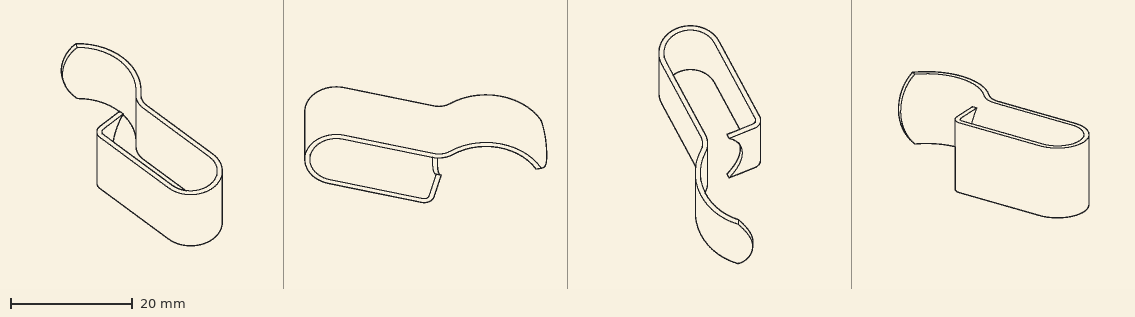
import cadquery as cq
import math

thickness = 0.85
width = 12.7

overall_length = 39.67
overall_depth = 15.11

loop_outer_radius = 5.2
hook_inner_radius = 0.85
neck_inner_radius = 3.175
crest_inner_radius = 9.525

hook_x = -17.5
hook_height = 6.35
tip_angle = math.radians(30)
end_round_radius = 9.525

tip_clearance = 1.0
tip_cut_reach = 3.0

half_width = width / 2
end_round_depth = end_round_radius - math.sqrt(end_round_radius**2 - half_width**2)

loop_inner_radius = loop_outer_radius - thickness
hook_outer_radius = hook_inner_radius + thickness
neck_outer_radius = neck_inner_radius + thickness
crest_outer_radius = crest_inner_radius + thickness

arm_y = loop_outer_radius
left_x = loop_outer_radius - overall_length
base_y = -loop_outer_radius
hook_bend_center = (hook_x + hook_outer_radius, base_y + hook_outer_radius)
hook_top_y = base_y + hook_height
crest_center = (
    left_x + crest_outer_radius * math.cos(tip_angle),
    base_y + overall_depth - crest_outer_radius,
)

neck_center_y = arm_y + neck_inner_radius
center_distance = crest_inner_radius + neck_outer_radius
neck_angle = math.asin((neck_center_y - crest_center[1]) / center_distance)
neck_center = (crest_center[0] + center_distance * math.cos(neck_angle), neck_center_y)

crest_tip_direction = math.pi - tip_angle
crest_mid_direction = (crest_tip_direction + neck_angle) / 2
neck_start_direction = neck_angle - math.pi
neck_mid_direction = (neck_start_direction - math.pi / 2) / 2


def polar(center, radius, direction):
    """Point at a radius and direction (radians) from a centre."""
    return (
        center[0] + radius * math.cos(direction),
        center[1] + radius * math.sin(direction),
    )


def bent_strip():
    """Full-width ribbon: hook, lower arm, loop, upper arm, neck and crest."""
    hook_mid_direction = math.radians(225)
    return (
        cq.Workplane("XY")
        .workplane(offset=-half_width)
        .moveTo(hook_x, hook_top_y)
        .lineTo(hook_x, hook_bend_center[1])
        .threePointArc(
            polar(hook_bend_center, hook_outer_radius, hook_mid_direction),
            (hook_bend_center[0], base_y),
        )
        .lineTo(0, base_y)
        .threePointArc((loop_outer_radius, 0), (0, arm_y))
        .lineTo(neck_center[0], arm_y)
        .threePointArc(
            polar(neck_center, neck_inner_radius, neck_mid_direction),
            polar(neck_center, neck_inner_radius, neck_start_direction),
        )
        .threePointArc(
            polar(crest_center, crest_outer_radius, crest_mid_direction),
            polar(crest_center, crest_outer_radius, crest_tip_direction),
        )
        .lineTo(*polar(crest_center, crest_inner_radius, crest_tip_direction))
        .threePointArc(
            polar(crest_center, crest_inner_radius, crest_mid_direction),
            polar(crest_center, crest_inner_radius, neck_angle),
        )
        .threePointArc(
            polar(neck_center, neck_outer_radius, neck_mid_direction),
            (neck_center[0], arm_y - thickness),
        )
        .lineTo(0, loop_inner_radius)
        .threePointArc((loop_inner_radius, 0), (0, -loop_inner_radius))
        .lineTo(hook_bend_center[0], base_y + thickness)
        .threePointArc(
            polar(hook_bend_center, hook_inner_radius, hook_mid_direction),
            (hook_x + thickness, hook_bend_center[1]),
        )
        .lineTo(hook_x + thickness, hook_top_y)
        .close()
        .extrude(width)
    )


def hook_notch():
    """Round hollow in the hook end, cut along X, leaving a horn at each side."""
    return (
        cq.Workplane("YZ", origin=(hook_x, hook_top_y, 0))
        .moveTo(0, -half_width)
        .threePointArc((-end_round_depth, 0), (0, half_width))
        .close()
        .extrude(thickness)
    )


def tip_corner(side):
    """Waste outside the rounded crest tip, on the +Z (side 1) or -Z (side -1) half."""
    tip_x, tip_y = polar(crest_center, crest_outer_radius, crest_tip_direction)
    plane = cq.Plane(
        origin=(tip_x, tip_y, 0),
        xDir=(math.sin(tip_angle), math.cos(tip_angle), 0),
        normal=(-math.cos(tip_angle), math.sin(tip_angle), 0),
    )
    half_sweep = math.asin(half_width / end_round_radius) / 2
    arc_middle = (
        end_round_radius * (1 - math.cos(half_sweep)),
        side * end_round_radius * math.sin(half_sweep),
    )
    return (
        cq.Workplane(plane)
        .moveTo(-tip_clearance, 0)
        .lineTo(0, 0)
        .threePointArc(arc_middle, (end_round_depth, side * half_width))
        .lineTo(-tip_clearance, side * half_width)
        .close()
        .extrude(tip_cut_reach, both=True)
    )


result = bent_strip().cut(hook_notch())
for side in (1, -1):
    result = result.cut(tip_corner(side))